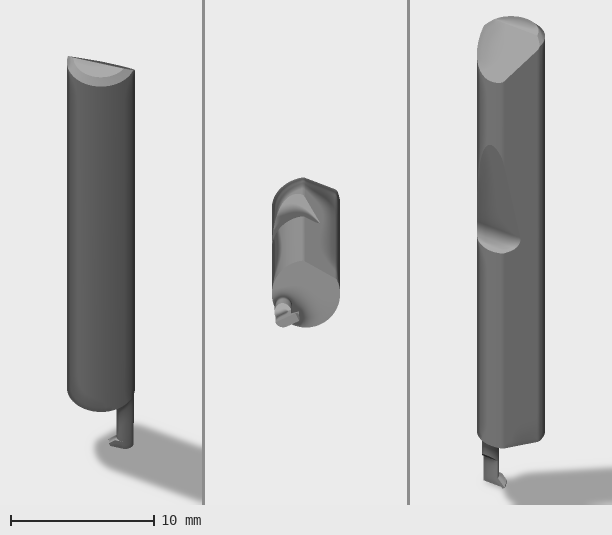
import cadquery as cq
import math

total_length = 38.1
shank_diameter = 4.75
shank_radius = shank_diameter / 2
shank_bottom = 5.05
shank_length = total_length - shank_bottom
top_chamfer = 0.45

flat_distance = 2.0
flat_angle = 145.0
flat_edge_radius = 0.4

slope_front_y = -0.57
notch_top = 29.9
notch_bottom = 21.15
notch_angle = math.radians(9.0)
notch_fillet = 0.85

neck_radius = 0.6
neck_x = shank_radius - neck_radius
rake_y = -0.05
neck_bottom = 0.1
rake_cut_top = 2.75

tooth_tip_x = 0.57
tooth_nose_x = 0.72
tooth_nose_end_x = 0.85
tooth_corner_z = 0.15
tooth_top = 0.8
tooth_side_relief = 0.23
tooth_nose_relief = 0.23


def make_shank():
    bar = cq.Workplane("XY", origin=(0, 0, shank_bottom)).circle(shank_radius).extrude(shank_length)
    bar = bar.faces(">Z").edges().chamfer(top_chamfer)
    flat_bar = cq.Workplane("XY", origin=(0, 0, shank_bottom)).circle(shank_radius).extrude(shank_length)
    flat_cutter = (
        cq.Workplane("XY")
        .box(shank_diameter, 2 * shank_diameter, 2 * total_length, centered=(False, True, True))
        .translate((flat_distance, 0, 0))
        .rotate((0, 0, 0), (0, 0, 1), flat_angle)
    )
    flat_bar = flat_bar.cut(flat_cutter)
    half_angle = math.degrees(math.acos(flat_distance / shank_radius))
    for side in (-1, 1):
        edge_angle = math.radians(flat_angle + side * half_angle)
        edge_point = (
            shank_radius * math.cos(edge_angle),
            shank_radius * math.sin(edge_angle),
            shank_bottom + shank_length / 2,
        )
        flat_bar = flat_bar.edges(cq.selectors.NearestToPointSelector(edge_point)).fillet(flat_edge_radius)
    return bar.intersect(flat_bar)


def extrude_across(points):
    """Extrude a closed YZ outline across the full width of the shank."""
    return cq.Workplane("YZ").polyline(points).close().extrude(shank_radius, both=True)


def make_top_slope():
    run = 2 * shank_diameter
    return extrude_across([
        (slope_front_y, total_length),
        (slope_front_y + run, total_length - run),
        (slope_front_y + run, total_length),
    ])


def make_notch():
    """Right-angled notch, tilted so that its long face runs out at the top."""
    opening = notch_top - notch_bottom
    corner_y = shank_radius - opening * math.cos(notch_angle) * math.sin(notch_angle)
    corner_z = notch_top - opening * math.cos(notch_angle) ** 2
    notch = extrude_across([
        (shank_radius, notch_top),
        (corner_y, corner_z),
        (shank_radius, notch_bottom),
    ])
    return notch.edges("<Y").fillet(notch_fillet)


def make_neck():
    neck = (
        cq.Workplane("XY", origin=(neck_x, rake_y, neck_bottom))
        .circle(neck_radius)
        .extrude(shank_bottom + neck_radius - neck_bottom)
    )
    rake_cut = extrude_across([
        (rake_y, 0),
        (rake_y + neck_radius, 0),
        (rake_y + neck_radius, rake_cut_top),
        (rake_y, rake_cut_top - neck_radius),
    ]).translate((neck_x, 0, 0))
    return neck.cut(rake_cut)


def make_tooth():
    tooth_lean = tooth_top - tooth_corner_z
    tooth = (
        cq.Workplane("XZ", origin=(0, rake_y, 0))
        .moveTo(tooth_tip_x, tooth_corner_z)
        .lineTo(tooth_nose_x, 0)
        .lineTo(tooth_nose_end_x, neck_bottom)
        .lineTo(neck_x, neck_bottom)
        .lineTo(neck_x, tooth_top)
        .lineTo(tooth_tip_x + tooth_lean, tooth_top)
        .close()
        .extrude(neck_radius)
    )
    front_y = rake_y - neck_radius
    side_relief = (
        cq.Workplane("XY")
        .polyline([(tooth_tip_x, rake_y), (tooth_tip_x, front_y), (tooth_tip_x + tooth_side_relief, front_y)])
        .close()
        .extrude(tooth_top)
    )
    nose_relief = (
        cq.Workplane("YZ", origin=(tooth_tip_x, 0, 0))
        .polyline([(rake_y, 0), (front_y, 0), (front_y, tooth_nose_relief)])
        .close()
        .extrude(tooth_nose_end_x - tooth_tip_x)
    )
    return tooth.cut(side_relief).cut(nose_relief)


shank = make_shank().cut(make_top_slope()).cut(make_notch())
result = shank.union(make_neck()).union(make_tooth())